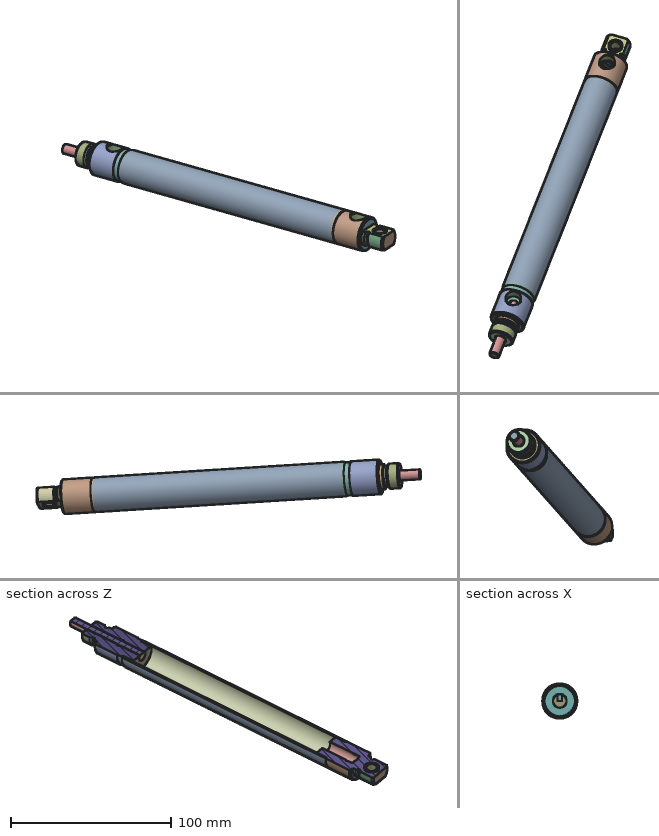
import cadquery as cq
import math

INCH = 25.4

overall_length = 242.11
body_diameter = 21.84
tube_bore = 0.75 * INCH
rod_diameter = 0.25 * INCH
neck_diameter = 0.625 * INCH
neck_groove_depth = 1.2

rod_tip_chamfer = 0.45

nose_x = 12.7
nose_chamfer = 0.8
nose_bore_chamfer = 0.5
nose_groove_x = 19.3
nose_groove_floor_start = 20.6
nose_groove_floor_end = 22.2
nose_groove_end = 22.8
head_x = 25.0
head_chamfer = 0.8
band_x = 43.2

tube_front_x = 46.7
tube_rear_x = 207.1
roll_length = 1.5
roll_depth = 0.45

rear_face_x = 226.4
cavity_diameter = 8.4
cavity_end_x = 222.6

spigot_length = 8.0

front_port_x = 37.5
rear_port_x = 218.9
port_diameter = 9.8
port_mouth_chamfer = 0.6
port_shoulder_z = 4.5
drill_half_angle = 59.0
front_port_hole_diameter = 5.6
rear_port_hole_diameter = 8.0

tang_thickness = 0.375 * INCH
tang_chamfer = 1.0
tang_groove_start = 228.5
tang_groove_floor_start = 229.6
tang_groove_floor_end = 230.5
tang_groove_end = 231.2
pivot_x = 235.0
pivot_diameter = 0.25 * INCH
pivot_chamfer = 0.5
bushing_diameter = 8.9

body_radius = body_diameter / 2
neck_radius = neck_diameter / 2
bore_radius = tube_bore / 2
rod_radius = rod_diameter / 2
rolled_radius = body_radius - roll_depth
neck_groove_radius = neck_radius - neck_groove_depth
front_head_end_x = tube_front_x + spigot_length
rear_cap_start_x = tube_rear_x - spigot_length


def turned(profile):
    """Revolve (x, radius) points, closed along the X axis, about that axis."""
    closed = [(profile[0][0], 0)] + profile + [(profile[-1][0], 0)]
    return cq.Workplane("XY").polyline(closed).close().revolve(360, (0, 0, 0), (1, 0, 0))


def round_bar(start, end, radius):
    """Cylinder along X from start to end."""
    return cq.Workplane("YZ", origin=(start, 0, 0)).circle(radius).extrude(end - start)


def port_cutter(x, hole_diameter):
    """Port on top: a wide bore with a conical drilled floor and a smaller hole down to the axis."""
    port_radius = port_diameter / 2
    hole_radius = hole_diameter / 2
    cone_depth = (port_radius - hole_radius) / math.tan(math.radians(drill_half_angle))
    profile = [
        (0, 0),
        (hole_radius, 0),
        (hole_radius, port_shoulder_z - cone_depth),
        (port_radius, port_shoulder_z),
        (port_radius, body_radius - port_mouth_chamfer),
        (port_radius + port_mouth_chamfer, body_radius),
        (0, body_radius),
    ]
    cutter = cq.Workplane("XZ").polyline(profile).close().revolve(360, (0, 0, 0), (0, 1, 0))
    return cutter.translate((x, 0, 0))


def make_rod():
    return round_bar(0, front_head_end_x, rod_radius).faces("<X").chamfer(rod_tip_chamfer)


def make_front_head():
    head = turned([
        (nose_x, neck_radius - nose_chamfer),
        (nose_x + nose_chamfer, neck_radius),
        (nose_groove_x, neck_radius),
        (nose_groove_floor_start, neck_groove_radius),
        (nose_groove_floor_end, neck_groove_radius),
        (nose_groove_end, neck_radius),
        (head_x, neck_radius),
        (head_x, body_radius - head_chamfer),
        (head_x + head_chamfer, body_radius),
        (band_x, body_radius),
        (band_x, rolled_radius),
        (tube_front_x, rolled_radius),
        (tube_front_x, bore_radius),
        (front_head_end_x, bore_radius),
    ])
    head = head.cut(port_cutter(front_port_x, front_port_hole_diameter))
    head = head.cut(round_bar(nose_x, front_head_end_x, rod_radius))
    bore_mouth = turned([
        (nose_x, rod_radius + nose_bore_chamfer),
        (nose_x + nose_bore_chamfer, rod_radius),
    ])
    return head.cut(bore_mouth)


def make_tube():
    tube = turned([
        (tube_front_x, rolled_radius),
        (tube_front_x + roll_length, body_radius),
        (tube_rear_x - roll_length, body_radius),
        (tube_rear_x, rolled_radius),
    ])
    return tube.cut(round_bar(tube_front_x, tube_rear_x, bore_radius))


def pivot_plug():
    """Solid cylinder filling the bushing seat across the tang."""
    plug = cq.Workplane("XY", origin=(pivot_x, 0, -tang_thickness / 2))
    return plug.circle(bushing_diameter / 2).extrude(tang_thickness)


def make_rear_cap():
    cap = turned([
        (rear_cap_start_x, bore_radius),
        (tube_rear_x, bore_radius),
        (tube_rear_x, body_radius),
        (rear_face_x - head_chamfer, body_radius),
        (rear_face_x, body_radius - head_chamfer),
        (rear_face_x, neck_radius),
        (tang_groove_start, neck_radius),
        (tang_groove_floor_start, neck_groove_radius),
        (tang_groove_floor_end, neck_groove_radius),
        (tang_groove_end, neck_radius),
        (overall_length - tang_chamfer, neck_radius),
        (overall_length, neck_radius - tang_chamfer),
    ])
    tang_length = overall_length - rear_face_x
    for side in (1, -1):
        flat = cq.Workplane("XY").box(tang_length, body_diameter, body_radius, centered=(False, True, True))
        flat_middle_z = side * (tang_thickness + body_radius) / 2
        cap = cap.cut(flat.translate((rear_face_x, 0, flat_middle_z)))
    cap = cap.cut(round_bar(rear_cap_start_x, cavity_end_x, cavity_diameter / 2))
    cap = cap.cut(port_cutter(rear_port_x, rear_port_hole_diameter))
    return cap.cut(pivot_plug())


def make_pivot_bushing():
    """Bushing flush with both tang flats, its bore chamfered at both ends."""
    bushing = pivot_plug().faces(">Z").workplane().hole(pivot_diameter)
    return bushing.edges(cq.selectors.RadiusNthSelector(0)).chamfer(pivot_chamfer)


rod = make_rod()
front_head = make_front_head()
tube = make_tube()
rear_cap = make_rear_cap()
pivot_bushing = make_pivot_bushing()

result = cq.Compound.makeCompound([
    rod.val(),
    front_head.val(),
    tube.val(),
    rear_cap.val(),
    pivot_bushing.val(),
])